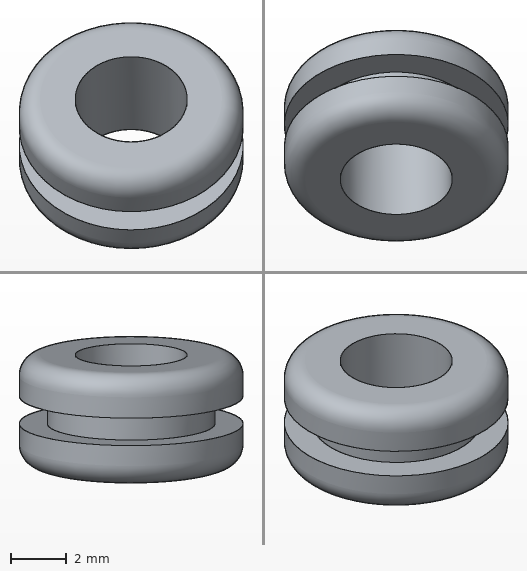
import cadquery as cq

outer_diameter = 8.0
height = 4.0
bore_diameter = outer_diameter / 2
groove_diameter = 6.0
groove_width = 1.0

flange_thickness = (height - groove_width) / 2
rim_radius = flange_thickness / 2


def flange(base_z, rounded_edge):
    """Disc starting at base_z, with its outward-facing rim rounded."""
    disc = cq.Workplane("XY").workplane(offset=base_z).circle(outer_diameter / 2).extrude(flange_thickness)
    return disc.edges(rounded_edge).fillet(rim_radius)


hub = cq.Workplane("XY").circle(groove_diameter / 2).extrude(height)

lower_flange = flange(0, "<Z")
upper_flange = flange(height - flange_thickness, ">Z")

bore = cq.Workplane("XY").circle(bore_diameter / 2).extrude(height)

result = hub.union(lower_flange).union(upper_flange).cut(bore)